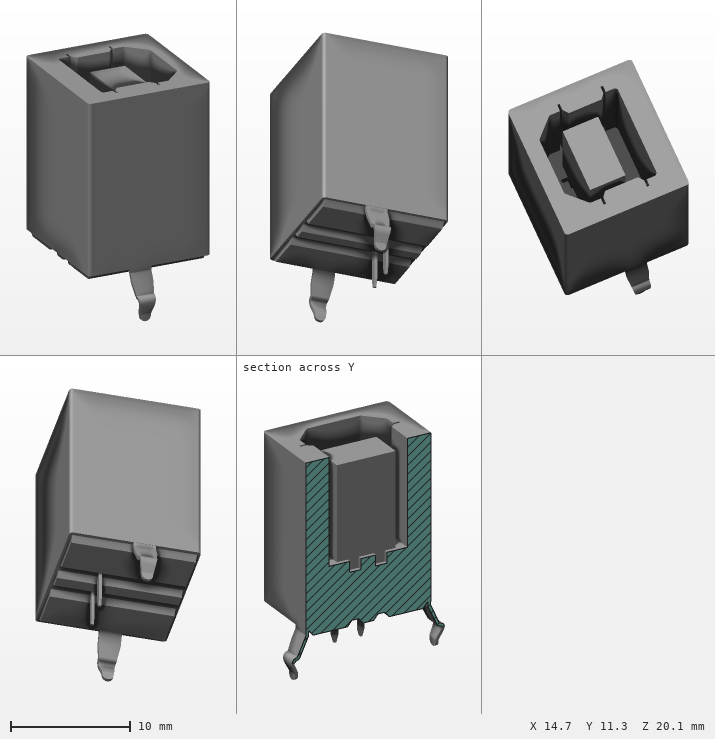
import cadquery as cq


overall_length_x = 14.7
overall_height = 20.05

body_length_x = 12.07
body_width_y = 11.3
body_height = 15.54
corner_radius = 0.3

cavity_half_x = 4.21
cavity_top_y = 4.25
cavity_bottom_y = -3.53
cavity_depth = 10.02
cavity_chamfer = 1.62
cavity_radius = 0.3

rail_center_y = -0.45
rail_half_root = 1.86
rail_half_crest = 1.5
rail_height = 0.46
slit_width = 0.22
slit_depth = 0.6

tongue_length_x = 5.65
tongue_width_y = 3.23
tongue_center_y = 0.4
tongue_drop = 1.1

contact_pitch = 2.5
window_length_x = 1.05
window_width_y = 0.62
window_depth = 1.0

foot_height = 0.5
base_half_x = 5.71
base_half_y = body_width_y / 2 - corner_radius
foot_flare = 0.42
groove_width = 0.65

pin_width = 0.6
pin_thickness = 0.25
pin_y = 1.9
pin_length = 3.47
pin_point_length = 0.68
pin_point_width = 0.2

clip_thickness = 0.3
clip_width = 1.92
clip_y = -0.8
clip_inset = 0.02
clip_length = overall_height - body_height
clip_taper_start = 1.25
clip_tip_radius = 0.48
clip_reach = overall_length_x / 2
clip_root_x = body_length_x / 2 - clip_inset - clip_thickness / 2
clip_crest_x = clip_reach - clip_thickness / 2
clip_tip_x = 6.75
clip_tight_radius = 0.18
clip_knuckle_radius = 0.36
clip_wide_radius = 0.6


def make_cavity_outline():
    """Cavity section with chamfered top corners, side rails and slits."""
    rail_x = cavity_half_x - rail_height
    slit_x = cavity_half_x + slit_depth
    rail_top = rail_center_y + rail_half_root
    rail_bottom = rail_center_y - rail_half_root
    right_side = [
        (cavity_half_x, cavity_bottom_y),
        (cavity_half_x, rail_bottom - slit_width),
        (slit_x, rail_bottom - slit_width),
        (slit_x, rail_bottom),
        (cavity_half_x, rail_bottom),
        (rail_x, rail_center_y - rail_half_crest),
        (rail_x, rail_center_y + rail_half_crest),
        (cavity_half_x, rail_top),
        (slit_x, rail_top),
        (slit_x, rail_top + slit_width),
        (cavity_half_x, rail_top + slit_width),
        (cavity_half_x, cavity_top_y - cavity_chamfer),
        (cavity_half_x - cavity_chamfer, cavity_top_y),
    ]
    left_side = [(-x, y) for x, y in reversed(right_side)]
    return right_side + left_side


def make_cavity():
    """Solid to remove for the plug: the cavity and floor windows, less the tongue."""
    floor_z = body_height - cavity_depth
    cavity = (
        cq.Workplane("XY", origin=(0, 0, floor_z))
        .polyline(make_cavity_outline()).close()
        .extrude(cavity_depth)
    )
    margin = 0.2
    chamfer_zone = cq.selectors.BoxSelector(
        (-cavity_half_x - margin, cavity_top_y - cavity_chamfer - margin, floor_z),
        (cavity_half_x + margin, cavity_top_y + margin, body_height),
    )
    cavity = cavity.edges(chamfer_zone).edges("|Z").fillet(cavity_radius)
    cavity = cavity.edges("|Z").edges("<Y").fillet(cavity_radius)

    tongue_height = cavity_depth - tongue_drop
    tongue = (
        cq.Workplane("XY", origin=(0, tongue_center_y, floor_z))
        .rect(tongue_length_x, tongue_width_y)
        .extrude(tongue_height)
    )
    window_y = (tongue_width_y + window_width_y) / 2
    windows = (
        cq.Workplane("XY", origin=(0, tongue_center_y, floor_z))
        .rect(contact_pitch, 2 * window_y, forConstruction=True)
        .vertices()
        .rect(window_length_x, window_width_y)
        .extrude(-window_depth)
    )
    return cavity.cut(tongue).union(windows)


def make_foot(x_start, x_end):
    """Foot with flared ends, running along Y under the shell."""
    return (
        cq.Workplane("XZ", origin=(0, base_half_y, 0))
        .moveTo(x_start, 0)
        .lineTo(x_end, 0)
        .lineTo(x_end - foot_flare, -foot_height)
        .lineTo(x_start + foot_flare, -foot_height)
        .close()
        .extrude(2 * base_half_y)
    )


def make_pin(x):
    """Flat solder pin with a tapered point."""
    shoulder_z = pin_point_length - pin_length
    return (
        cq.Workplane("XZ", origin=(x, pin_y + pin_thickness / 2, 0))
        .moveTo(-pin_width / 2, 0)
        .lineTo(pin_width / 2, 0)
        .lineTo(pin_width / 2, shoulder_z)
        .lineTo(pin_point_width / 2, -pin_length)
        .lineTo(-pin_point_width / 2, -pin_length)
        .lineTo(-pin_width / 2, shoulder_z)
        .close()
        .extrude(pin_thickness)
    )


def make_clip():
    """Spring clip on the -X side: a bent strip trimmed to a tapered, round-tipped blade."""
    bends = [
        (-clip_root_x, -0.38, clip_tight_radius),
        (-6.74, -2.29, clip_tight_radius),
        (-clip_crest_x, -2.4, clip_knuckle_radius),
        (-clip_crest_x, -2.9, clip_wide_radius),
        (-clip_tip_x, -3.79, clip_knuckle_radius),
    ]
    points = [cq.Vector(-clip_root_x, clip_y, 0)]
    points += [cq.Vector(x, clip_y, z) for x, z, _ in bends]
    points += [cq.Vector(-clip_tip_x, clip_y, -clip_length)]
    path = cq.Wire.makePolygon(points)
    for corner in reversed(range(len(bends))):
        bend_radius = bends[corner][2]
        path = path.fillet(bend_radius, [path.Vertices()[corner + 1]])
    strip = (
        cq.Workplane("XY", origin=(-clip_root_x, clip_y, 0))
        .rect(clip_thickness, clip_width)
        .sweep(cq.Workplane(path))
    )
    tip_z = clip_tip_radius - clip_length
    blade = (
        cq.Workplane("YZ", origin=(-clip_reach, clip_y, 0))
        .moveTo(-clip_width / 2, 0)
        .lineTo(clip_width / 2, 0)
        .lineTo(clip_width / 2, -clip_taper_start)
        .lineTo(clip_tip_radius, tip_z)
        .threePointArc((0, -clip_length), (-clip_tip_radius, tip_z))
        .lineTo(-clip_width / 2, -clip_taper_start)
        .close()
        .extrude(clip_reach)
    )
    return strip.intersect(blade)


result = (
    cq.Workplane("XY")
    .rect(body_length_x, body_width_y)
    .extrude(body_height)
    .edges("|Z")
    .fillet(corner_radius)
    .cut(make_cavity())
)

pin_x = contact_pitch / 2
groove_inner = pin_x - groove_width / 2
groove_outer = pin_x + groove_width / 2
foot_spans = [
    (-base_half_x, -groove_outer),
    (-groove_inner, groove_inner),
    (groove_outer, base_half_x),
]
for foot_start, foot_end in foot_spans:
    result = result.union(make_foot(foot_start, foot_end))

for side in (-1, 1):
    result = result.union(make_pin(side * pin_x))

clip = make_clip()
result = result.union(clip).union(clip.mirror("YZ"))